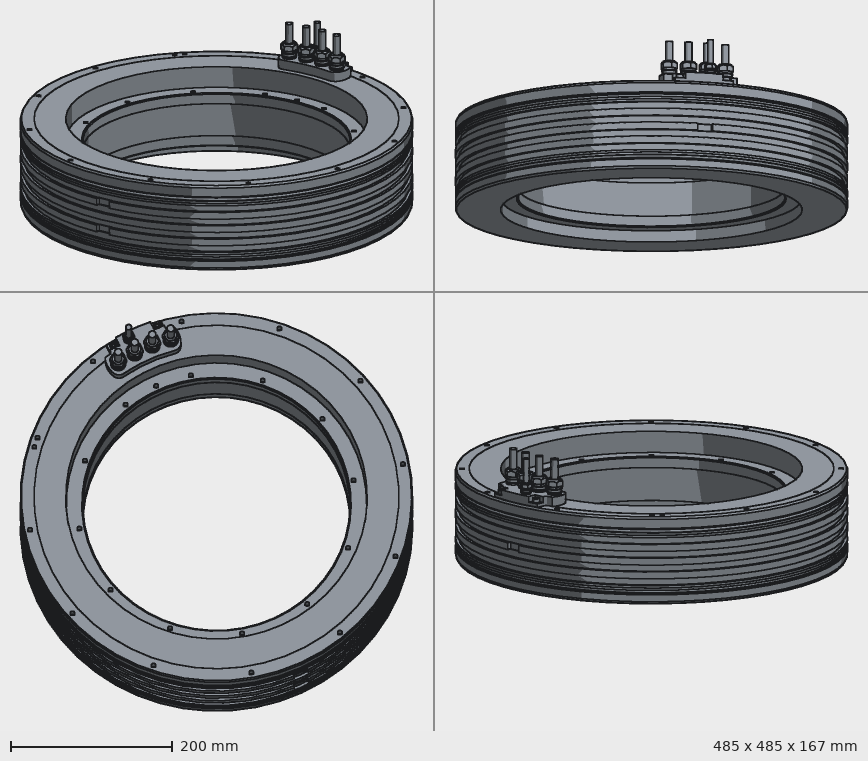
import cadquery as cq
import math

stator_outer_radius = 242.5
stator_bore_radius = 186.3
stator_height = 111.0
edge_chamfer_radial = 1.4
edge_chamfer_height = 3.0
winding_face_radius = 225.5
winding_face_drop = 0.2

jacket_center_z = 54.0
channel_pitch = 17.5
channel_width = channel_pitch / 2
channel_count = 4
channel_floor_radius = 238.3
transfer_gap_width = 19.0
transfer_gap_floor_y = 236.5
land_half_height = 33.6
land_relief = 0.1

oring_section_diameter = 3.6
oring_groove_inner_offset = 36.6
oring_groove_width = 4.6
oring_lead_in_height = 1.1
oring_lead_in_depth = 0.4
oring_recess = 0.3
oring_groove_floor_radius = stator_outer_radius - oring_recess - oring_section_diameter

rotor_outer_radius = 185.6
rotor_bore_radius = 165.0
rotor_bottom_z = 14.0
rotor_height = 70.0
rotor_bore_chamfer = 1.5
rotor_relief_radius = 165.2
rotor_rim_height = 14.0

bolt_hole_diameter = 5.5
bolt_hole_depth = 12.0
drill_point_angle = 118.0
bolt_count = 12
bolt_first_angle = 15.0
stator_bolt_radius = 234.4
rotor_bolt_radius = 172.3
dowel_hole_diameter = 5.0
dowel_angle = 138.1
rotor_mark_angle = 90.0

pad_height = 11.8
pad_inner_radius = 195.0
pad_neck_radius = 240.0
pad_neck_half_width = 37.3
pad_half_width = 48.9
pad_widest_y = 210.0
pad_side_radius = 29.0
pad_corner_fillet = 10.5
pad_neck_fillet = 2.5
pad_top_z = stator_height + pad_height

screw_x = 30.0
screw_y = 232.0
screw_notch_inner_x = 23.8
screw_notch_inner_y = 227.4
screw_floor_height = 4.5
screw_head_diameter = 8.5
screw_head_height = 5.0
screw_socket_flats = 4.0
screw_socket_depth = 2.5

cable_top_z = 167.0
power_gland_radius = 209.0
power_gland_spacing = 6.6
power_gland_count = 4
power_gland_flats = 18.0
power_gland_height = 19.2
power_cable_diameter = 9.0
sensor_gland_x = -10.2
sensor_gland_y = 229.7
sensor_gland_flats = 12.5
sensor_gland_height = 14.0
sensor_cable_diameter = 7.2

section_plane = cq.Plane(origin=(0, 0, 0), xDir=(0, -1, 0), normal=(-1, 0, 0))


def ring_of(points):
    return cq.Workplane(section_plane).polyline(points).close().revolve(360, (0, 0, 0), (0, 1, 0))


def band(inner_radius, outer_radius, bottom_z, height):
    top_z = bottom_z + height
    return ring_of([
        (inner_radius, bottom_z),
        (outer_radius, bottom_z),
        (outer_radius, top_z),
        (inner_radius, top_z),
    ])


def polar_point(radius, angle):
    return (radius * math.cos(math.radians(angle)), radius * math.sin(math.radians(angle)))


def drilled_hole(radius, angle, top_z, diameter):
    """Blind hole with a conical drill point, going down from top_z."""
    hole_radius = diameter / 2
    point_depth = hole_radius / math.tan(math.radians(drill_point_angle / 2))
    profile = [
        (0, 0),
        (hole_radius, 0),
        (hole_radius, -bolt_hole_depth),
        (0, -bolt_hole_depth - point_depth),
    ]
    hole = cq.Workplane("XZ").polyline(profile).close().revolve(360, (0, 0, 0), (0, 1, 0))
    x, y = polar_point(radius, angle)
    return hole.translate((x, y, top_z))


def drill_bolt_circle(body, radius, top_z):
    for index in range(bolt_count):
        angle = bolt_first_angle + index * 360 / bolt_count
        body = body.cut(drilled_hole(radius, angle, top_z, bolt_hole_diameter))
    return body


def make_oring_groove(side):
    """Cutter for the upper (side = 1) or lower (side = -1) groove, tapered on its outer edge."""
    beyond = stator_outer_radius + 1
    inner_z = jacket_center_z + side * oring_groove_inner_offset
    outer_z = inner_z + side * oring_groove_width
    lead_in_z = outer_z + side * oring_lead_in_height
    return ring_of([
        (oring_groove_floor_radius, inner_z),
        (beyond, inner_z),
        (beyond, lead_in_z),
        (stator_outer_radius, lead_in_z),
        (stator_outer_radius - oring_lead_in_depth, outer_z),
        (oring_groove_floor_radius, outer_z),
    ])


def make_stator_ring():
    top = stator_height
    ring = ring_of([
        (stator_bore_radius, 0),
        (stator_outer_radius - edge_chamfer_radial, 0),
        (stator_outer_radius, edge_chamfer_height),
        (stator_outer_radius, top - edge_chamfer_height),
        (stator_outer_radius - edge_chamfer_radial, top),
        (winding_face_radius, top),
        (winding_face_radius, top - winding_face_drop),
        (stator_bore_radius, top - winding_face_drop),
    ])
    beyond = stator_outer_radius + 1

    land_radius = stator_outer_radius - land_relief
    land_bottom = jacket_center_z - land_half_height
    ring = ring.cut(band(land_radius, beyond, land_bottom, 2 * land_half_height))

    first_channel_z = jacket_center_z - (channel_count - 1) / 2 * channel_pitch
    for index in range(channel_count):
        bottom_z = first_channel_z + index * channel_pitch - channel_width / 2
        ring = ring.cut(band(channel_floor_radius, beyond, bottom_z, channel_width))

    gap_depth = beyond - transfer_gap_floor_y
    for index in range(channel_count - 1):
        side = -1 if index % 2 == 0 else 1
        gap_z = first_channel_z + (index + 0.5) * channel_pitch
        gap_y = side * (transfer_gap_floor_y + gap_depth / 2)
        gap = cq.Workplane("XY").box(transfer_gap_width, gap_depth, channel_width)
        ring = ring.cut(gap.translate((0, gap_y, gap_z)))

    for side in (-1, 1):
        ring = ring.cut(make_oring_groove(side))

    ring = drill_bolt_circle(ring, stator_bolt_radius, top)
    return ring.cut(drilled_hole(stator_bolt_radius, dowel_angle, top, dowel_hole_diameter))


def pad_side_corner(radius):
    """Point where the bulging end meets the circle of the given radius about the axis."""
    center_x = pad_half_width - pad_side_radius
    distance = math.hypot(center_x, pad_widest_y)
    along = (distance**2 + radius**2 - pad_side_radius**2) / (2 * distance)
    across = math.sqrt(radius**2 - along**2)
    unit_x = center_x / distance
    unit_y = pad_widest_y / distance
    return (along * unit_x + across * unit_y, along * unit_y - across * unit_x)


def make_pad():
    base_z = stator_height - winding_face_drop
    height = pad_top_z - base_z
    inner_x, inner_y = pad_side_corner(pad_inner_radius)
    outer_x, outer_y = pad_side_corner(winding_face_radius)
    shoulder_y = math.sqrt(winding_face_radius**2 - pad_neck_half_width**2)
    neck_y = math.sqrt(pad_neck_radius**2 - pad_neck_half_width**2)
    shoulder_angle = (math.atan2(outer_x, outer_y) + math.atan2(pad_neck_half_width, shoulder_y)) / 2
    shoulder_mid_x = winding_face_radius * math.sin(shoulder_angle)
    shoulder_mid_y = winding_face_radius * math.cos(shoulder_angle)

    pad = (
        cq.Workplane("XY", origin=(0, 0, base_z))
        .moveTo(-inner_x, inner_y)
        .threePointArc((0, pad_inner_radius), (inner_x, inner_y))
        .threePointArc((pad_half_width, pad_widest_y), (outer_x, outer_y))
        .threePointArc((shoulder_mid_x, shoulder_mid_y), (pad_neck_half_width, shoulder_y))
        .lineTo(pad_neck_half_width, neck_y)
        .threePointArc((0, pad_neck_radius), (-pad_neck_half_width, neck_y))
        .lineTo(-pad_neck_half_width, shoulder_y)
        .threePointArc((-shoulder_mid_x, shoulder_mid_y), (-outer_x, outer_y))
        .threePointArc((-pad_half_width, pad_widest_y), (-inner_x, inner_y))
        .close()
        .extrude(height)
    )
    mid_z = base_z + height / 2
    for side in (-1, 1):
        pad = pad.edges(cq.selectors.NearestToPointSelector((side * inner_x, inner_y, mid_z)))
        pad = pad.fillet(pad_corner_fillet)
        pad = pad.edges(cq.selectors.NearestToPointSelector((side * pad_neck_half_width, shoulder_y, mid_z)))
        pad = pad.fillet(pad_neck_fillet)
    for side in (-1, 1):
        pad = add_corner_screw(pad, side)
    return pad


def add_corner_screw(pad, side):
    """Notches one outer corner of the pad and seats a socket head screw on its floor."""
    floor_z = stator_height + screw_floor_height
    notch_size = 2 * screw_y
    notch = cq.Workplane("XY").box(notch_size, notch_size, pad_height, centered=False)
    if side < 0:
        notch = notch.translate((-notch_size, 0, 0))
    notch = notch.translate((side * screw_notch_inner_x, screw_notch_inner_y, floor_z))
    head = (
        cq.Workplane("XY", origin=(side * screw_x, screw_y, floor_z))
        .circle(screw_head_diameter / 2)
        .extrude(screw_head_height)
        .faces(">Z")
        .workplane()
        .polygon(6, screw_socket_flats, circumscribed=True)
        .cutBlind(-screw_socket_depth)
    )
    return pad.cut(notch).union(head)


def make_gland(x, y, flats, height, cable_diameter):
    """Gland with two thin collars and a hexagonal cap nut with a conical top, plus its cable."""
    body_radius = 0.47 * flats
    collar_radius = 0.52 * flats
    collar_height = 0.03 * height
    lower_collar_z = 0.12 * height
    upper_collar_z = 0.35 * height
    nut_z = 0.53 * height
    nut_corner_radius = flats / math.sqrt(3)
    cone_z = 0.84 * height
    cone_top_radius = 0.41 * flats

    gland = cq.Workplane("XY").circle(body_radius).extrude(nut_z)
    for collar_z in (lower_collar_z, upper_collar_z):
        collar = cq.Workplane("XY", origin=(0, 0, collar_z)).circle(collar_radius).extrude(collar_height)
        gland = gland.union(collar)

    nut = (
        cq.Workplane("XY", origin=(0, 0, nut_z))
        .polygon(6, flats, circumscribed=True)
        .extrude(height - nut_z)
    )
    nut_envelope = cq.Workplane("XZ").polyline([
        (0, 0),
        (nut_corner_radius, 0),
        (nut_corner_radius, cone_z),
        (cone_top_radius, height),
        (0, height),
    ]).close().revolve(360, (0, 0, 0), (0, 1, 0))
    cable = cq.Workplane("XY").circle(cable_diameter / 2).extrude(cable_top_z - pad_top_z)
    return gland.union(nut.intersect(nut_envelope)).union(cable).translate((x, y, pad_top_z))


def make_stator():
    stator = make_stator_ring().union(make_pad())
    for index in range(power_gland_count):
        angle = 90 + (index - (power_gland_count - 1) / 2) * power_gland_spacing
        x, y = polar_point(power_gland_radius, angle)
        gland = make_gland(x, y, power_gland_flats, power_gland_height, power_cable_diameter)
        stator = stator.union(gland)
    sensor_gland = make_gland(
        sensor_gland_x, sensor_gland_y, sensor_gland_flats, sensor_gland_height, sensor_cable_diameter
    )
    return stator.union(sensor_gland)


def make_rotor():
    top_z = rotor_bottom_z + rotor_height
    rotor = ring_of([
        (rotor_bore_radius, rotor_bottom_z + rotor_bore_chamfer),
        (rotor_bore_radius + rotor_bore_chamfer, rotor_bottom_z),
        (rotor_outer_radius, rotor_bottom_z),
        (rotor_outer_radius, top_z),
        (rotor_bore_radius + rotor_bore_chamfer, top_z),
        (rotor_bore_radius, top_z - rotor_bore_chamfer),
        (rotor_bore_radius, top_z - rotor_rim_height),
        (rotor_relief_radius, top_z - rotor_rim_height),
        (rotor_relief_radius, rotor_bottom_z + rotor_rim_height),
        (rotor_bore_radius, rotor_bottom_z + rotor_rim_height),
    ])
    rotor = drill_bolt_circle(rotor, rotor_bolt_radius, top_z)
    return rotor.cut(drilled_hole(rotor_bolt_radius, rotor_mark_angle, top_z, bolt_hole_diameter))


def make_oring(side):
    """O-ring resting on the groove floor and against the groove wall nearest the jacket."""
    section_radius = oring_section_diameter / 2
    center_radius = oring_groove_floor_radius + section_radius
    center_z = jacket_center_z + side * (oring_groove_inner_offset + section_radius)
    section = cq.Workplane(section_plane).center(center_radius, center_z).circle(section_radius)
    return section.revolve(360, (-center_radius, 0, 0), (-center_radius, 1, 0))


stator = make_stator()
rotor = make_rotor()
orings = [make_oring(side) for side in (-1, 1)]

result = cq.Compound.makeCompound([stator.val(), rotor.val(), *[oring.val() for oring in orings]])